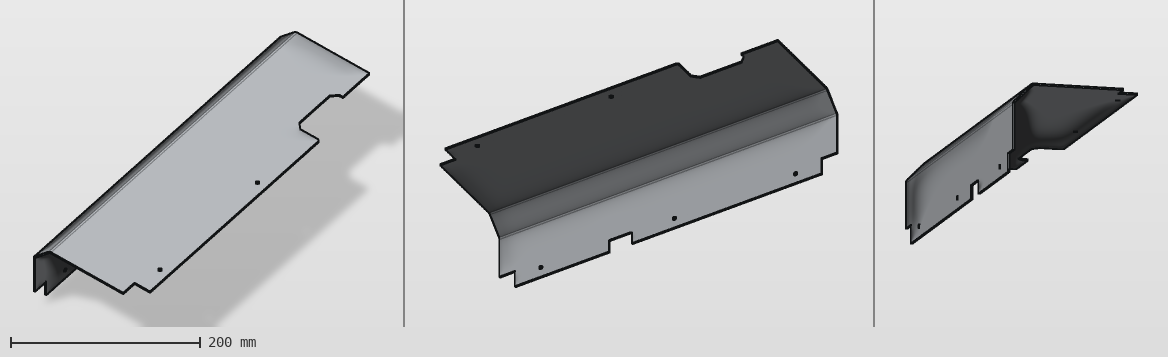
import cadquery as cq
import math

length = 418.0
width = 141.5
height = 93.0

thickness = 2.0
bend_outer_radius = 5.0
bend_inner_radius = bend_outer_radius - thickness
bend_end = 23.5
bend_angle = math.radians(45)

end_step = 19.2
side_step_height = 20.0
top_step_width = 21.0

opening_start = 45.0
opening_end = 110.8
opening_depth = 33.0
opening_chamfer = 7.0
tab_corner_radius = 3.0

notch_start = 253.7
notch_end = 282.5
notch_depth = 15.0
notch_corner_radius = 1.5

hole_diameter = 4.0
hole_edge_distance = 12.0
first_hole = 51.0
middle_hole = 201.0
last_hole = 366.5
side_holes = (first_hole, middle_hole, last_hole)
top_holes = (middle_hole, last_hole)

y_back = length / 2
y_front = -length / 2


def bent_sheet():
    """Extrude the constant-thickness section with two tangent bends."""
    center_low = (bend_outer_radius, height - bend_end)
    center_high = (bend_end, height - bend_outer_radius)

    def on_bend(center, radius, angle):
        return (center[0] - radius * math.cos(angle), center[1] + radius * math.sin(angle))

    def low(radius, turn):
        return on_bend(center_low, radius, turn * bend_angle)

    def high(radius, turn):
        return on_bend(center_high, radius, turn * bend_angle)

    outer = bend_outer_radius
    inner = bend_inner_radius
    section = (
        cq.Workplane("XZ", origin=(0, y_back, 0))
        .moveTo(0, 0)
        .lineTo(*low(outer, 0))
        .threePointArc(low(outer, 0.5), low(outer, 1))
        .lineTo(*high(outer, 1))
        .threePointArc(high(outer, 1.5), high(outer, 2))
        .lineTo(width, height)
        .lineTo(width, height - thickness)
        .lineTo(*high(inner, 2))
        .threePointArc(high(inner, 1.5), high(inner, 1))
        .lineTo(*low(inner, 1))
        .threePointArc(low(inner, 0.5), low(inner, 0))
        .lineTo(thickness, 0)
        .close()
    )
    return section.extrude(length)


def top_flange_cutter():
    """Cut the front step and the chamfered opening through the top flange."""
    step_x = width - top_step_width
    opening_x = width - opening_depth
    far_y = y_back - opening_start
    near_y = y_back - opening_end
    plane = cq.Workplane("XY", origin=(0, 0, height - thickness))

    front_step = (
        plane.moveTo(step_x, y_front)
        .lineTo(width, y_front)
        .lineTo(width, y_front + end_step)
        .lineTo(step_x, y_front + end_step)
        .close()
        .extrude(thickness)
    )
    opening = (
        plane.moveTo(step_x, y_back)
        .lineTo(step_x, far_y)
        .lineTo(opening_x + opening_chamfer, far_y)
        .lineTo(opening_x, far_y - opening_chamfer)
        .lineTo(opening_x, near_y + opening_chamfer)
        .lineTo(opening_x + opening_chamfer, near_y)
        .lineTo(width - tab_corner_radius, near_y)
        .radiusArc((width, near_y - tab_corner_radius), tab_corner_radius)
        .lineTo(width, y_back)
        .close()
        .extrude(thickness)
    )
    return front_step.union(opening)


def side_flange_cutter():
    """Cut both end steps and the rounded notch through the side flange."""
    notch_length = notch_end - notch_start
    notch_y = y_back - (notch_start + notch_end) / 2
    cutter = (
        cq.Workplane("XY")
        .box(thickness, notch_length, notch_depth, centered=(False, True, False))
        .edges("|X and >Z")
        .fillet(notch_corner_radius)
        .translate((0, notch_y, 0))
    )
    for step_y in (y_front, y_back - end_step):
        step = cq.Workplane("XY", origin=(0, step_y, 0)).box(
            thickness, end_step, side_step_height, centered=False
        )
        cutter = cutter.union(step)
    return cutter


def top_hole_cutter():
    hole_x = width - hole_edge_distance
    points = [(hole_x, y_back - distance) for distance in top_holes]
    plane = cq.Workplane("XY", origin=(0, 0, height - thickness))
    return plane.pushPoints(points).circle(hole_diameter / 2).extrude(thickness)


def side_hole_cutter():
    points = [(y_back - distance, hole_edge_distance) for distance in side_holes]
    return cq.Workplane("YZ").pushPoints(points).circle(hole_diameter / 2).extrude(thickness)


result = (
    bent_sheet()
    .cut(top_flange_cutter())
    .cut(side_flange_cutter())
    .cut(top_hole_cutter())
    .cut(side_hole_cutter())
)